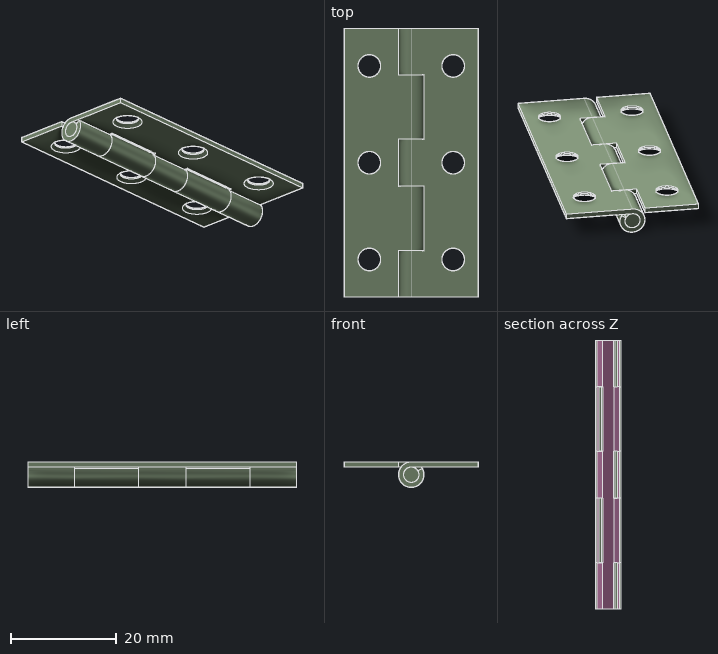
import cadquery as cq
import math

hinge_length = 50.8
hinge_width = 25.4
leaf_thickness = 0.95
knuckle_diameter = 4.85
end_knuckle_length = 8.8
middle_knuckle_length = 8.9
curl_end_angle = 30.0
hole_diameter = 4.2
countersink_diameter = 5.55
countersink_depth = 0.65
hole_offset = 7.9
hole_pitch = 18.3

leaf_width = hinge_width / 2
outer_radius = knuckle_diameter / 2
inner_radius = outer_radius - leaf_thickness
pin_axis_z = -outer_radius
half_length = hinge_length / 2
half_middle = middle_knuckle_length / 2
end_knuckle_start = half_length - end_knuckle_length

right_knuckles = [
    (-half_length, -end_knuckle_start),
    (-half_middle, half_middle),
    (end_knuckle_start, half_length),
]
left_knuckles = [
    (-end_knuckle_start, -half_middle),
    (half_middle, end_knuckle_start),
]


def point_on_circle(radius, angle):
    """XZ point at an elevation angle around the pin axis."""
    turn = math.radians(angle)
    return radius * math.cos(turn), pin_axis_z + radius * math.sin(turn)


def section_at(y):
    """XZ sketch plane at y that extrudes toward +Y."""
    return cq.Workplane(cq.Plane(origin=(0, y, 0), xDir=(1, 0, 0), normal=(0, -1, 0)))


def make_strip(start, end):
    """Rolled strip: flat to the leaf edge and curled around the pin."""
    return (
        section_at(start)
        .moveTo(leaf_width, 0)
        .lineTo(0, 0)
        .threePointArc(
            point_on_circle(outer_radius, 225),
            point_on_circle(outer_radius, curl_end_angle),
        )
        .lineTo(*point_on_circle(inner_radius, curl_end_angle))
        .threePointArc(
            point_on_circle(inner_radius, 225),
            (0, -leaf_thickness),
        )
        .lineTo(leaf_width, -leaf_thickness)
        .close()
        .extrude(start - end)
    )


def make_hole_cutter():
    """Screw hole on the Z axis, widening conically to the underside of the leaf."""
    cone_start_z = countersink_depth - leaf_thickness
    hole_radius = hole_diameter / 2
    return (
        cq.Workplane("XZ")
        .lineTo(hole_radius, 0)
        .lineTo(hole_radius, cone_start_z)
        .lineTo(countersink_diameter / 2, -leaf_thickness)
        .lineTo(0, -leaf_thickness)
        .close()
        .revolve(360, (0, 0, 0), (0, 1, 0))
    )


def make_leaf(knuckles):
    """Leaf on the +X side, with a knuckle over each given stretch of Y."""
    leaf = (
        cq.Workplane("XY")
        .center((outer_radius + leaf_width) / 2, 0)
        .rect(leaf_width - outer_radius, hinge_length)
        .extrude(-leaf_thickness)
    )
    for start, end in knuckles:
        leaf = leaf.union(make_strip(start, end))
    hole_cutter = make_hole_cutter()
    for row in (-1, 0, 1):
        leaf = leaf.cut(hole_cutter.translate((hole_offset, row * hole_pitch, 0)))
    return leaf.clean()


right_leaf = make_leaf(right_knuckles)
left_leaf = make_leaf(left_knuckles).mirror("YZ")

pin = section_at(-half_length).center(0, pin_axis_z).circle(inner_radius).extrude(-hinge_length)

result = cq.Compound.makeCompound([right_leaf.val(), left_leaf.val(), pin.val()])